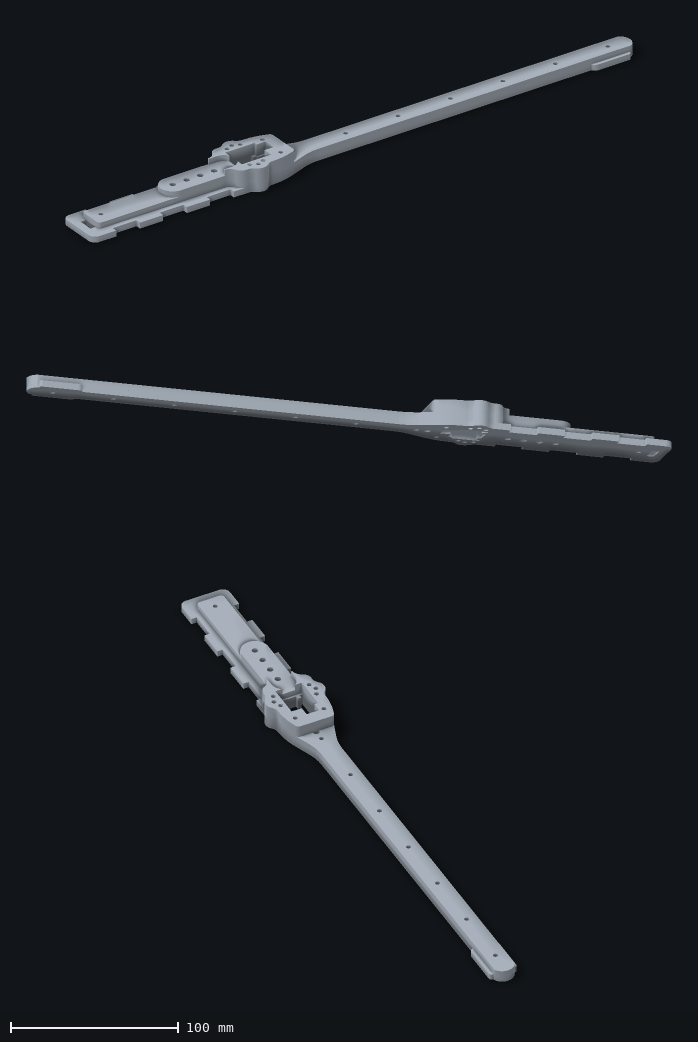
import cadquery as cq
import math

LENGTH = 400.0
PLATE = 4.0

BLADE_HALF = 6.8
TIP_RADIUS = 7.5

FLARE_START_Y = 169.0
TAPER_TOP = (8.8, 158.0)
TAPER_BOTTOM = (13.0, 146.0)

HUB_HALF = 16.0
NOSE_HALF = 19.5
NOSE_Y = 121.0
NOSE_REACH = 8.8
NOSE_RADIUS = 6.5
HUB_FOOT_Y = 111.0
HUB_TOP_Y = 148.8
HUB_CORNER_RADIUS = 2.5
HUB_END_Y = 100.5

EAR_HALF = 9.0
EAR_TOP_Y = 394.8
EAR_BOTTOM_Y = 367.0
EAR_TOP_RADIUS = 1.5
EAR_BOTTOM_RADIUS = 3.5

STRIP_HALF = 12.5
LUG_COUNT = 4
LUG_PITCH = 34.0
LUG_LENGTH = 16.8
HANDLE_RADIUS = 4.8

GRIP_HALF = 8.8
GRIP_END_Y = 9.0
GRIP_RADIUS = 2.0
TONGUE_END_Y = 60.0

SLOT_HALF = 5.0
SLOT_BOTTOM_Y = 5.5
SLOT_TOP_Y = 10.0

WINDOW_HALF = 8.8
WINDOW_TOP_Y = 134.0
WINDOW_BOTTOM_Y = 112.8
NOTCH_LEFT_X = -6.5
NOTCH_RIGHT_X = 2.0
NOTCH_TOP_Y = 140.5

BLOCK_INNER_X = 6.5
BLOCK_BOTTOM_Y = 131.5
LOWER_WINDOW_BOTTOM_Y = 114.0
LOWER_NOTCH_LEFT_X = -5.0
TAB_INNER_X = 4.5
TAB_OUTER_X = 6.8
TAB_TOP_Y = 116.5

RELIEF_RADIUS = 8.0
RELIEF_Y = 106.0

BLADE_HOLE = 2.95
BLADE_HOLE_COUNT = 7
BLADE_HOLE_PITCH = 38.0
BLADE_HOLE_TOP_Y = 384.0
GRIP_HOLE_Y = 16.8
SHOULDER_HOLE = 4.0
SHOULDER_HOLE_Y = 149.0
TONGUE_HOLE = 4.0
TONGUE_HOLE_COUNT = 4
TONGUE_HOLE_PITCH = 10.0
TONGUE_HOLE_TOP_Y = 98.8
HUB_HOLE = 2.95
HUB_HOLE_X = 12.0
HUB_HOLE_RISE = 4.8
NOSE_HOLE = 2.95
NOSE_HOLE_X = 14.0
CORNER_HOLE = 2.95
CORNER_HOLE_X = 9.5
CORNER_HOLE_Y = 140.5


def slab(x_min, x_max, y_min, y_max):
    """One plate thickness of a rectangle, on Z = 0."""
    return (
        cq.Workplane("XY")
        .moveTo((x_min + x_max) / 2, (y_min + y_max) / 2)
        .rect(x_max - x_min, y_max - y_min)
        .extrude(PLATE)
    )


def holes(points, diameter):
    """Discs, one plate thick, on Z = 0."""
    return cq.Workplane("XY").pushPoints(points).circle(diameter / 2).extrude(PLATE)


def tip_point(x):
    """Point of the tip arc at the given X; the arc is centred on X = 0."""
    return (x, LENGTH - TIP_RADIUS + math.sqrt(TIP_RADIUS**2 - x**2))


def arm_blank():
    """Blade, shoulder and hub outline, drawn on +X and mirrored."""
    turn = 2 * math.atan((NOSE_HALF - HUB_HALF) / NOSE_REACH)
    nose_dx = NOSE_RADIUS * (1 - math.cos(turn))
    nose_dy = NOSE_RADIUS * math.sin(turn)
    nose_x = NOSE_HALF - nose_dx
    foot_mid = ((HUB_HALF + GRIP_HALF) / 2, (HUB_FOOT_Y + HUB_END_Y) / 2)
    half = (
        cq.Workplane("XY")
        .moveTo(0, LENGTH)
        .threePointArc(tip_point(BLADE_HALF / 2), tip_point(BLADE_HALF))
        .lineTo(BLADE_HALF, FLARE_START_Y)
        .tangentArcPoint(TAPER_TOP, relative=False)
        .lineTo(*TAPER_BOTTOM)
        .tangentArcPoint((HUB_HALF, NOSE_Y + NOSE_REACH), relative=False)
        .tangentArcPoint((nose_x, NOSE_Y + nose_dy), relative=False)
        .threePointArc((NOSE_HALF, NOSE_Y), (nose_x, NOSE_Y - nose_dy))
        .tangentArcPoint((HUB_HALF, NOSE_Y - NOSE_REACH), relative=False)
        .lineTo(HUB_HALF, HUB_FOOT_Y)
        .tangentArcPoint(foot_mid, relative=False)
        .tangentArcPoint((GRIP_HALF, HUB_END_Y), relative=False)
        .lineTo(0, HUB_END_Y)
        .close()
        .extrude(PLATE)
    )
    return half.union(half.mirror("YZ"))


def hub_blank():
    """The hub part of the arm outline, cut square above with rounded corners."""
    hub = arm_blank().cut(slab(-NOSE_HALF, NOSE_HALF, HUB_TOP_Y, LENGTH))
    return hub.faces(">Y").edges("|Z").fillet(HUB_CORNER_RADIUS)


def hub_holes():
    """Mirrored pairs: two pairs beside the window, one in the noses, one at the top corners."""
    rises = (-HUB_HOLE_RISE, HUB_HOLE_RISE)
    points = [(side * HUB_HOLE_X, NOSE_Y + rise) for side in (-1, 1) for rise in rises]
    noses = [(side * NOSE_HOLE_X, NOSE_Y) for side in (-1, 1)]
    corners = [(side * CORNER_HOLE_X, CORNER_HOLE_Y) for side in (-1, 1)]
    return holes(points, HUB_HOLE).union(holes(noses, NOSE_HOLE)).union(holes(corners, CORNER_HOLE))


def blade_holes():
    """Evenly spaced blade holes, one at the grip end and a larger one at the shoulder."""
    points = [(0, BLADE_HOLE_TOP_Y - i * BLADE_HOLE_PITCH) for i in range(BLADE_HOLE_COUNT)]
    points.append((0, GRIP_HOLE_Y))
    return holes(points, BLADE_HOLE).union(holes([(0, SHOULDER_HOLE_Y)], SHOULDER_HOLE))


def tongue_holes():
    """Row of holes through the tongue and the two plates below it."""
    points = [(0, TONGUE_HOLE_TOP_Y - i * TONGUE_HOLE_PITCH) for i in range(TONGUE_HOLE_COUNT)]
    return holes(points, TONGUE_HOLE)


def upper_window():
    """Window of the hub plate and the cap, with its notch."""
    window = slab(-WINDOW_HALF, WINDOW_HALF, WINDOW_BOTTOM_Y, WINDOW_TOP_Y)
    return window.union(slab(NOTCH_LEFT_X, NOTCH_RIGHT_X, WINDOW_TOP_Y, NOTCH_TOP_Y))


def lower_window():
    """Window of the base and arm plates, narrowed by corner blocks and tabs."""
    window = slab(-WINDOW_HALF, WINDOW_HALF, LOWER_WINDOW_BOTTOM_Y, BLOCK_BOTTOM_Y)
    window = window.union(slab(-BLOCK_INNER_X, BLOCK_INNER_X, BLOCK_BOTTOM_Y, WINDOW_TOP_Y))
    window = window.union(slab(LOWER_NOTCH_LEFT_X, NOTCH_RIGHT_X, WINDOW_TOP_Y, NOTCH_TOP_Y))
    tab = slab(TAB_INNER_X, TAB_OUTER_X, LOWER_WINDOW_BOTTOM_Y, TAB_TOP_Y)
    return window.cut(tab).cut(tab.mirror("YZ"))


def make_base():
    """Bottom plate: blade with ears, hub and lugged handle."""
    ears = slab(-EAR_HALF, EAR_HALF, EAR_BOTTOM_Y, EAR_TOP_Y)
    ears = ears.edges("|Z and >Y").fillet(EAR_TOP_RADIUS).edges("|Z and <Y").fillet(EAR_BOTTOM_RADIUS)
    body = arm_blank().union(ears).union(slab(-STRIP_HALF, STRIP_HALF, LUG_LENGTH, HUB_FOOT_Y))
    for i in range(LUG_COUNT):
        bottom = i * LUG_PITCH
        top = min(bottom + LUG_LENGTH, HUB_FOOT_Y)
        lug = slab(-HUB_HALF, HUB_HALF, bottom, top)
        if i == 0:
            lug = lug.edges("|Z and <Y").fillet(HANDLE_RADIUS)
        body = body.union(lug)
    slot = slab(-SLOT_HALF, SLOT_HALF, SLOT_BOTTOM_Y, SLOT_TOP_Y)
    return body.cut(slot).cut(lower_window()).cut(hub_holes()).cut(blade_holes()).cut(tongue_holes())


def make_arm():
    """Second plate: blade, hub and plain grip."""
    grip = slab(-GRIP_HALF, GRIP_HALF, GRIP_END_Y, HUB_END_Y).edges("|Z and <Y").fillet(GRIP_RADIUS)
    body = arm_blank().union(grip)
    body = body.cut(lower_window()).cut(hub_holes()).cut(blade_holes()).cut(tongue_holes())
    return body.translate((0, 0, PLATE))


def make_hub_plate():
    """Third plate: hub with a round-ended tongue."""
    tongue = slab(-GRIP_HALF, GRIP_HALF, TONGUE_END_Y + GRIP_HALF, HUB_END_Y)
    tongue = tongue.union(holes([(0, TONGUE_END_Y + GRIP_HALF)], 2 * GRIP_HALF))
    body = hub_blank().union(tongue)
    body = body.cut(upper_window()).cut(hub_holes()).cut(tongue_holes())
    return body.translate((0, 0, 2 * PLATE))


def make_cap():
    """Top plate: hub opened below by a rounded relief."""
    relief = holes([(0, RELIEF_Y)], 2 * RELIEF_RADIUS)
    relief = relief.union(slab(-RELIEF_RADIUS, RELIEF_RADIUS, HUB_END_Y, RELIEF_Y))
    body = hub_blank().cut(upper_window()).cut(relief).cut(hub_holes())
    return body.translate((0, 0, 3 * PLATE))


base = make_base()
arm = make_arm()
hub_plate = make_hub_plate()
cap = make_cap()

result = cq.Compound.makeCompound([base.val(), arm.val(), hub_plate.val(), cap.val()])